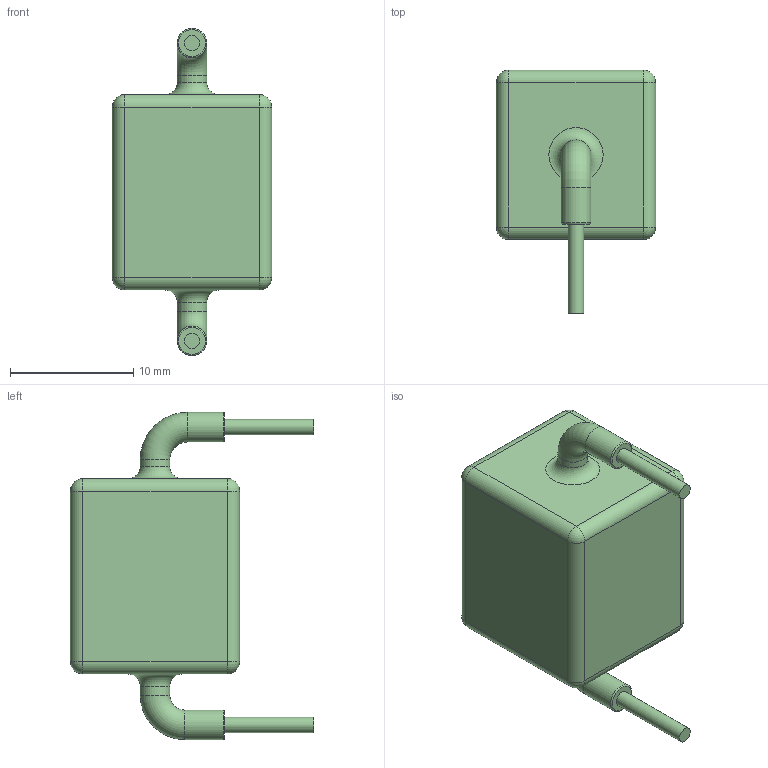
import cadquery as cq

BODY_X = 12.93
BODY_Y = 13.73
BODY_Z = 15.84
BODY_FILLET = 1.0

SLEEVE_DIA = 2.4
SLEEVE_ROOT_FILLET = 1.0
SLEEVE_TIP_FILLET = 0.1
TOP_AXIS_HEIGHT = 4.18
TOP_BEND_RADIUS = 2.63
BOTTOM_AXIS_HEIGHT = 4.13
BOTTOM_BEND_RADIUS = 2.42

WIRE_DIA = 1.25
WIRE_LENGTH = 7.23
WIRE_OVERHANG = 6.0

WIRE_TIP_Y = -BODY_Y / 2 - WIRE_OVERHANG
SLEEVE_END_Y = WIRE_TIP_Y + WIRE_LENGTH


def make_body():
    return cq.Workplane("XY").box(BODY_X, BODY_Y, BODY_Z).edges().fillet(BODY_FILLET)


def make_root_flare():
    """Concave flare standing on the XY plane, blending the face into the sleeve."""
    sleeve_radius = SLEEVE_DIA / 2
    flare_radius = sleeve_radius + SLEEVE_ROOT_FILLET
    return (
        cq.Workplane("XZ")
        .lineTo(flare_radius, 0)
        .radiusArc((sleeve_radius, SLEEVE_ROOT_FILLET), SLEEVE_ROOT_FILLET)
        .lineTo(0, SLEEVE_ROOT_FILLET)
        .close()
        .revolve(360, (0, 0, 0), (0, 1, 0))
    )


def make_lead(axis_height, bend_radius):
    """Lead rising from the XY plane, then running toward -Y at axis_height."""
    riser_height = axis_height - bend_radius
    sleeve_radius = SLEEVE_DIA / 2

    riser = cq.Workplane("XY").circle(sleeve_radius).extrude(riser_height)
    bend = (
        cq.Workplane("XY", origin=(0, 0, riser_height))
        .circle(sleeve_radius)
        .revolve(90, (0, -bend_radius, 0), (1, -bend_radius, 0))
    )
    straight = (
        cq.Workplane("XZ", origin=(0, -bend_radius, axis_height))
        .circle(sleeve_radius)
        .extrude(-bend_radius - SLEEVE_END_Y)
        .faces("<Y")
        .edges()
        .fillet(SLEEVE_TIP_FILLET)
    )
    wire = (
        cq.Workplane("XZ", origin=(0, -bend_radius, axis_height))
        .circle(WIRE_DIA / 2)
        .extrude(-bend_radius - WIRE_TIP_Y)
    )
    return riser.union(make_root_flare()).union(bend).union(straight).union(wire)


top_lead = make_lead(TOP_AXIS_HEIGHT, TOP_BEND_RADIUS).translate((0, 0, BODY_Z / 2))
bottom_lead = (
    make_lead(BOTTOM_AXIS_HEIGHT, BOTTOM_BEND_RADIUS)
    .mirror("XY")
    .translate((0, 0, -BODY_Z / 2))
)

result = make_body().union(top_lead).union(bottom_lead)